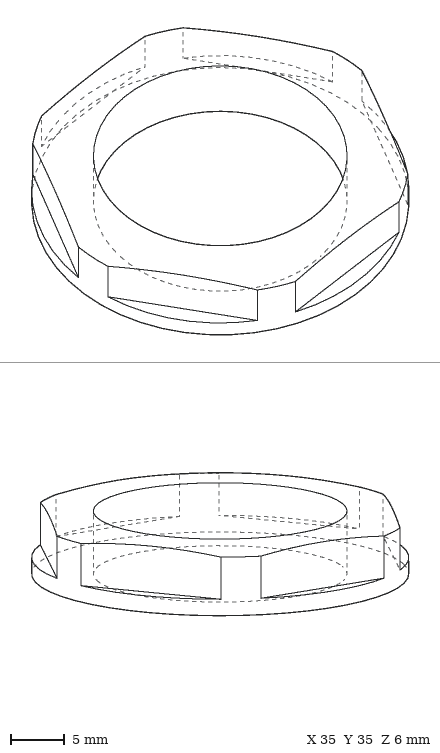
import cadquery as cq
import math

outer_diameter = 35.0
across_flats = 32.0
bore_diameter = 23.52
total_height = 6.0
flange_height = 1.58
chamfer_angle = 15.0

outer_radius = outer_diameter / 2
chamfer_start_radius = across_flats / 2
chamfer_drop = (outer_radius - chamfer_start_radius) * math.tan(math.radians(chamfer_angle))


def turned_blank():
    """Solid disc whose top edge is bevelled down from the inscribed circle of the hexagon."""
    return (
        cq.Workplane("XZ")
        .moveTo(0, 0)
        .lineTo(outer_radius, 0)
        .lineTo(outer_radius, total_height - chamfer_drop)
        .lineTo(chamfer_start_radius, total_height)
        .lineTo(0, total_height)
        .close()
        .revolve(360, (0, 0, 0), (0, 1, 0))
    )


def hexagon_envelope():
    """Full round flange below a hexagonal prism with corners on the X axis."""
    across_corners = across_flats / math.cos(math.radians(30))
    flange = cq.Workplane("XY").circle(across_corners / 2).extrude(flange_height)
    hexagon = cq.Workplane("XY").polygon(6, across_corners).extrude(total_height)
    return flange.union(hexagon)


bore = cq.Workplane("XY").circle(bore_diameter / 2).extrude(total_height)
result = turned_blank().intersect(hexagon_envelope()).cut(bore)